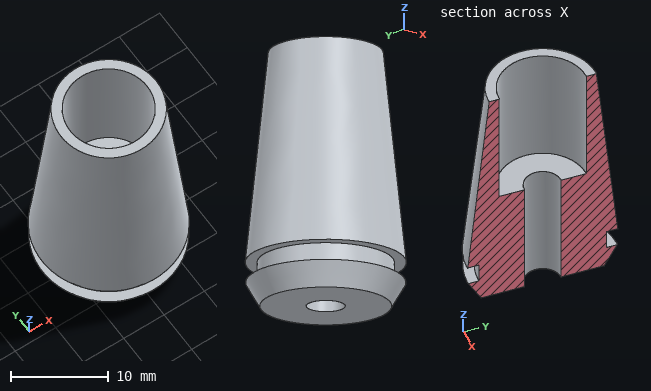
import cadquery as cq

height = 27.0
nose_height = 2.5
groove_top = 4.65
bore_floor = 13.5

bottom_diameter = 13.5
flange_diameter = 16.42
groove_diameter = 14.05
body_diameter = 16.5
top_diameter = 11.8
bore_diameter = 9.5
hole_diameter = 4.0

half_section = [
    (hole_diameter / 2, 0),
    (bottom_diameter / 2, 0),
    (flange_diameter / 2, nose_height),
    (groove_diameter / 2, nose_height),
    (groove_diameter / 2, groove_top),
    (body_diameter / 2, groove_top),
    (top_diameter / 2, height),
    (bore_diameter / 2, height),
    (bore_diameter / 2, bore_floor),
    (hole_diameter / 2, bore_floor),
]

result = cq.Workplane("XZ").polyline(half_section).close().revolve(360, (0, 0, 0), (0, 1, 0))